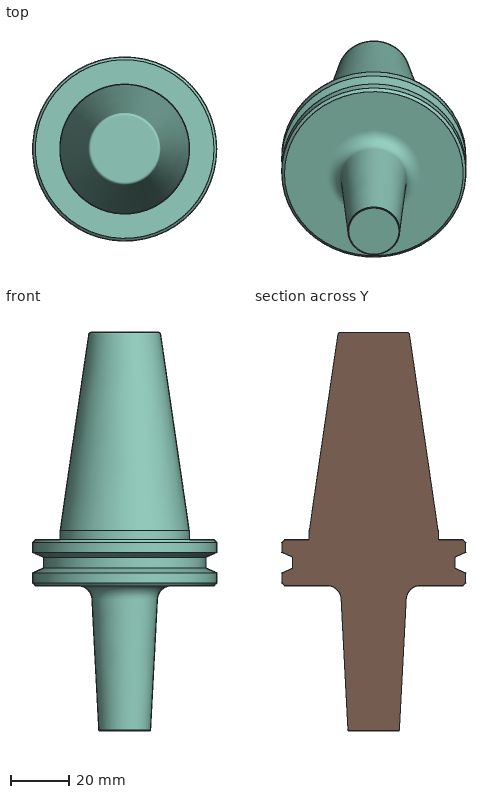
import cadquery as cq
import math

total_height = 137.5
taper_height = 68.3
collar_height = 3.2
flange_thickness = 16.0
gauge_z = total_height - taper_height
flange_top_z = gauge_z - collar_height
flange_bottom_z = flange_top_z - flange_thickness

gauge_radius = 22.3
collar_radius = 22.4
taper_ratio = 7 / 24
shank_top_radius = gauge_radius - taper_height * taper_ratio / 2
shank_top_round = 1.0

flange_radius = 31.8
flange_chamfer = 1.0
groove_floor_radius = 28.0
groove_floor_width = 3.7
groove_mouth_width = 7.0
groove_z = flange_top_z - flange_thickness / 2

nose_tip_radius = 9.0
nose_half_angle = math.radians(3)
nose_tip_chamfer = 0.3
nose_fillet = 4.8


def make_shank():
    """Plain collar and steep taper, with a rounded upper rim."""
    profile = (
        cq.Workplane("XZ")
        .moveTo(0, flange_top_z)
        .lineTo(collar_radius, flange_top_z)
        .lineTo(collar_radius, gauge_z)
        .lineTo(gauge_radius, gauge_z)
        .lineTo(shank_top_radius, total_height)
        .lineTo(0, total_height)
        .close()
    )
    return profile.revolve(360, (0, 0, 0), (0, 1, 0)).faces(">Z").edges().fillet(shank_top_round)


def make_flange():
    """Chamfered disc with the V-groove cut around its rim."""
    disc = (
        cq.Workplane("XY", origin=(0, 0, flange_bottom_z))
        .circle(flange_radius)
        .extrude(flange_thickness)
        .edges()
        .chamfer(flange_chamfer)
    )
    groove = (
        cq.Workplane("XZ")
        .moveTo(flange_radius, groove_z - groove_mouth_width / 2)
        .lineTo(groove_floor_radius, groove_z - groove_floor_width / 2)
        .lineTo(groove_floor_radius, groove_z + groove_floor_width / 2)
        .lineTo(flange_radius, groove_z + groove_mouth_width / 2)
        .close()
        .revolve(360, (0, 0, 0), (0, 1, 0))
    )
    return disc.cut(groove)


def make_nose():
    """Cone widening upwards, flowing into the flange through a tangent arc."""
    arc_center_z = flange_bottom_z - nose_fillet
    arc_start_z = arc_center_z + nose_fillet * math.sin(nose_half_angle)
    arc_start_radius = nose_tip_radius + arc_start_z * math.tan(nose_half_angle)
    arc_center_radius = arc_start_radius + nose_fillet * math.cos(nose_half_angle)
    middle_angle = (math.pi / 2 + nose_half_angle) / 2
    arc_middle = (
        arc_center_radius - nose_fillet * math.cos(middle_angle),
        arc_center_z + nose_fillet * math.sin(middle_angle),
    )
    profile = (
        cq.Workplane("XZ")
        .lineTo(nose_tip_radius, 0)
        .lineTo(arc_start_radius, arc_start_z)
        .threePointArc(arc_middle, (arc_center_radius, flange_bottom_z))
        .lineTo(0, flange_bottom_z)
        .close()
    )
    return profile.revolve(360, (0, 0, 0), (0, 1, 0)).faces("<Z").edges().chamfer(nose_tip_chamfer)


result = make_flange().union(make_shank()).union(make_nose())